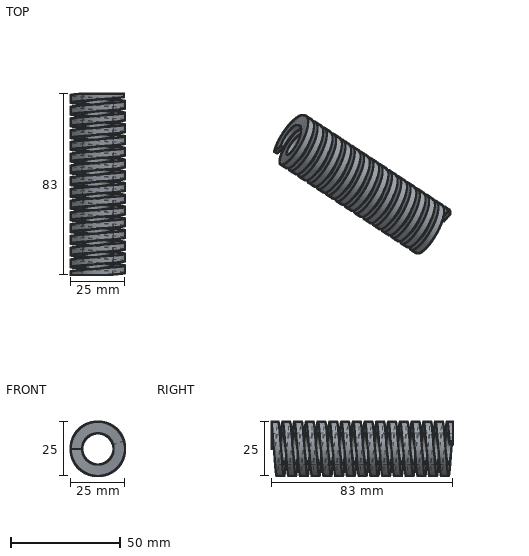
import cadquery as cq

length = 83.0
outer_diameter = 25.0
bore_diameter = 14.3
whole_turns = 15
extra_angle = 163.5
ground_angle = 110.0
tip_thickness = 1.7

turns = whole_turns + extra_angle / 360
ground_turns = ground_angle / 360
pitch = (length - tip_thickness) / (turns - ground_turns)
ground_depth = pitch * ground_turns
wire_width = tip_thickness + ground_depth

outer_radius = outer_diameter / 2
bore_radius = bore_diameter / 2
wire_depth = outer_radius - bore_radius
mean_radius = (outer_radius + bore_radius) / 2


def wound_coil():
    """Unground coil along +Z, its wire starting at +X, centred on Z = 0 at the start."""
    path = cq.Wire.makeHelix(pitch, pitch * turns, mean_radius)
    section = cq.Workplane("XZ").center(mean_radius, 0).rect(wire_depth, wire_width)
    return section.sweep(cq.Workplane(obj=path), isFrenet=True)


def grinding_envelope():
    """Block between the two ground end planes, wider than the coil."""
    return cq.Workplane("XY").box(2 * outer_diameter, 2 * outer_diameter, length)


wire_start = -length / 2 - ground_depth + wire_width / 2
coil = wound_coil().translate((0, 0, wire_start))
ground_coil = coil.intersect(grinding_envelope())

result = ground_coil.rotate((0, 0, 0), (0, 1, 1), 180)